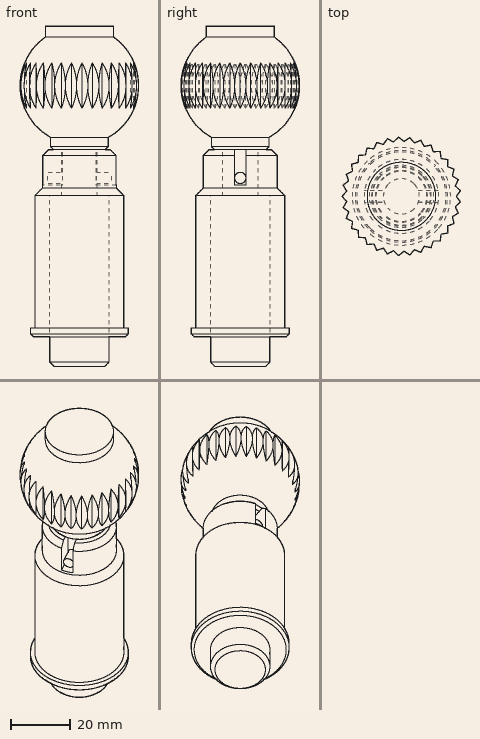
import cadquery as cq
import math


nose_radius = 10.0
nose_chamfer = 1.5
rod_radius = 6.0
cross_pin_radius = 1.9
cross_pin_length = 21.5

overall_height = 114.5
ball_radius = 20.0
ball_center_z = overall_height - ball_radius
cap_radius = 11.5
neck_radius = 9.75
neck_chamfer = 1.0

flute_count = 33
flute_root_radius = 18.5
flute_tip_radius = 19.98
cutter_overlap = 1.0

nose_projection = 10.0
flange_radius = 16.5
flange_thickness = 3.0
flange_chamfer = 1.0
barrel_radius = 15.0
collar_radius = 12.5
collar_chamfer = 2.0
shoulder_chamfer = barrel_radius - collar_radius
collar_height = 13.0
housing_height = 63.0
housing_top_z = nose_projection + housing_height
shoulder_z = housing_top_z - collar_height

slot_width = 4.0
slot_depth = 12.0
cross_pin_drop = 9.55
cross_pin_z = housing_top_z - cross_pin_drop

nose_top_z = shoulder_z - shoulder_chamfer


def revolve_profile(profile):
    """Turn a closed (radius, height) profile about the Z axis."""
    return profile.close().revolve(360, (0, 0, 0), (0, 1, 0))


def make_housing():
    body = revolve_profile(
        cq.Workplane("XZ")
        .moveTo(0, nose_projection)
        .lineTo(flange_radius - flange_chamfer, nose_projection)
        .lineTo(flange_radius, nose_projection + flange_chamfer)
        .lineTo(flange_radius, nose_projection + flange_thickness)
        .lineTo(barrel_radius, nose_projection + flange_thickness)
        .lineTo(barrel_radius, shoulder_z - shoulder_chamfer)
        .lineTo(collar_radius, shoulder_z)
        .lineTo(collar_radius, housing_top_z - collar_chamfer)
        .lineTo(collar_radius - collar_chamfer, housing_top_z)
        .lineTo(0, housing_top_z)
    )
    nose_bore = cq.Workplane("XY").circle(nose_radius).extrude(nose_top_z)
    rod_bore = cq.Workplane("XY").circle(rod_radius).extrude(housing_top_z)
    slot = (
        cq.Workplane("XY", origin=(0, 0, housing_top_z))
        .rect(2 * barrel_radius, slot_width)
        .extrude(-slot_depth)
    )
    return body.cut(nose_bore).cut(rod_bore).cut(slot)


def make_flute_cutter():
    """Ring whose inner wall is a star of V-shaped flutes, with a root facing +X."""
    half_pitch = math.pi / flute_count
    star = []
    for i in range(2 * flute_count):
        radius = flute_tip_radius if i % 2 else flute_root_radius
        star.append((radius * math.cos(i * half_pitch), radius * math.sin(i * half_pitch)))
    flute_half_height = math.sqrt(ball_radius**2 - flute_root_radius**2)
    base = cq.Workplane("XY", origin=(0, 0, ball_center_z - flute_half_height))
    disc = base.circle(ball_radius + cutter_overlap).extrude(2 * flute_half_height)
    return disc.cut(base.polyline(star).close().extrude(2 * flute_half_height))


def make_plunger():
    neck_top_z = ball_center_z - math.sqrt(ball_radius**2 - neck_radius**2)
    cap_base_z = ball_center_z + math.sqrt(ball_radius**2 - cap_radius**2)
    body = revolve_profile(
        cq.Workplane("XZ")
        .moveTo(0, 0)
        .lineTo(nose_radius - nose_chamfer, 0)
        .lineTo(nose_radius, nose_chamfer)
        .lineTo(nose_radius, nose_top_z)
        .lineTo(rod_radius, nose_top_z)
        .lineTo(rod_radius, housing_top_z)
        .lineTo(neck_radius - neck_chamfer, housing_top_z)
        .lineTo(neck_radius, housing_top_z + neck_chamfer)
        .lineTo(neck_radius, neck_top_z)
        .threePointArc((ball_radius, ball_center_z), (cap_radius, cap_base_z))
        .lineTo(cap_radius, overall_height)
        .lineTo(0, overall_height)
    )
    cross_pin = (
        cq.Workplane("YZ", origin=(-cross_pin_length / 2, 0, cross_pin_z))
        .circle(cross_pin_radius)
        .extrude(cross_pin_length)
    )
    return body.cut(make_flute_cutter()).union(cross_pin)


housing = make_housing()
plunger = make_plunger()

result = cq.Compound.makeCompound([housing.val(), plunger.val()])